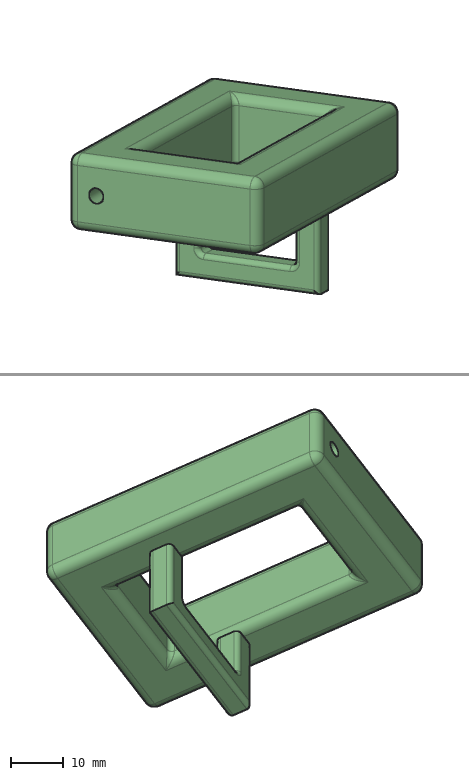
import cadquery as cq
import math

FRAME_WIDTH = 40.4
FRAME_LENGTH = 60.2
FRAME_HEIGHT = 15.05
FRAME_ROUND = 2.0
WINDOW_WIDTH = 20.3
WINDOW_LENGTH = 40.2
WINDOW_CORNER_ROUND = 1.0

HOLE_DIAMETER = 3.0
HOLE_DEPTH = 6.0
HOLE_X = -14.2
DRILL_TIP_ANGLE = 118.0

LOOP_WIDTH = 30.35
LOOP_DROP = 17.35
LOOP_THICKNESS = 5.0
LOOP_BAR = (LOOP_WIDTH - WINDOW_WIDTH) / 2
LOOP_Y = 7.6
LOOP_ROUND = 1.0


def upright_box(width, length, height):
    """Box standing on Z = 0, centred on the Z axis."""
    return cq.Workplane("XY").box(width, length, height, centered=(True, True, False))


def box_selector(width, length, height):
    """Selects edges centred within the matching upright box or on its surface."""
    margin = 0.05
    corner = cq.Vector(width / 2 + margin, length / 2 + margin, height + margin)
    opposite = cq.Vector(-corner.x, -corner.y, -margin)
    return cq.selectors.BoxSelector(opposite, corner)


def make_hole_cutter():
    """Drill shape pointing in +Y, starting on the -Y end of the frame."""
    radius = HOLE_DIAMETER / 2
    tip_length = radius / math.tan(math.radians(DRILL_TIP_ANGLE / 2))
    half_section = [(0, 0), (radius, 0), (radius, HOLE_DEPTH), (0, HOLE_DEPTH + tip_length)]
    drill = cq.Workplane("XY").polyline(half_section).close().revolve(360, (0, 0), (0, 1))
    return drill.translate((HOLE_X, -FRAME_LENGTH / 2, FRAME_HEIGHT / 2))


def make_frame():
    frame = upright_box(FRAME_WIDTH, FRAME_LENGTH, FRAME_HEIGHT).edges().fillet(FRAME_ROUND)
    frame = frame.cut(upright_box(WINDOW_WIDTH, WINDOW_LENGTH, FRAME_HEIGHT))

    window_edges = box_selector(WINDOW_WIDTH, WINDOW_LENGTH, FRAME_HEIGHT)
    frame = frame.edges(window_edges).edges("|X or |Y").fillet(FRAME_ROUND)
    frame = frame.edges(window_edges).edges("|Z").fillet(WINDOW_CORNER_ROUND)

    return frame.cut(make_hole_cutter())


def make_loop():
    opening = upright_box(WINDOW_WIDTH, LOOP_THICKNESS, LOOP_DROP - LOOP_BAR)
    opening = opening.edges("|Y").edges("<Z").fillet(LOOP_ROUND)
    opening = opening.translate((0, 0, LOOP_BAR))
    loop = upright_box(LOOP_WIDTH, LOOP_THICKNESS, LOOP_DROP).cut(opening)

    loop = loop.faces("<Y or >Y").edges("not >Z").fillet(LOOP_ROUND)
    return loop.translate((0, LOOP_Y, -LOOP_DROP))


frame = make_frame()
loop = make_loop()
result = cq.Compound.makeCompound([frame.val(), loop.val()])